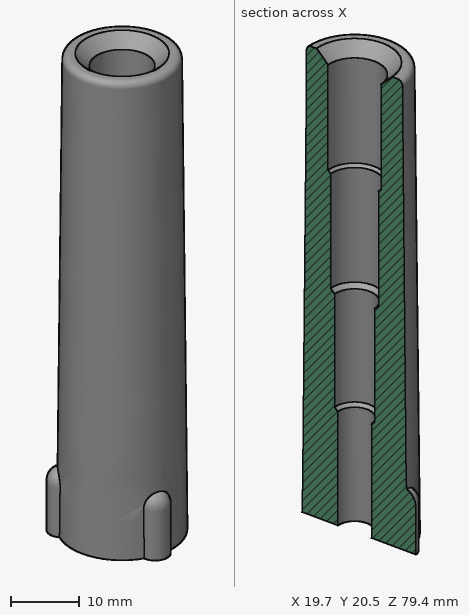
import cadquery as cq

LENGTH = 79.4
BASE_RADIUS = 9.5
TOP_RADIUS = 8.7
RIM_FILLET = 1.0

MOUTH_RADIUS = 6.8
BORE_RADII = [4.8, 4.3, 3.6, 3.0]
BORE_STEP_LENGTH = LENGTH / len(BORE_RADII)

RIB_COUNT = 3
RIB_RADIUS = 2.3
RIB_CENTER_DISTANCE = 8.7
RIB_STRAIGHT_HEIGHT = 8.3
FIRST_RIB_ANGLE = 90


def make_body():
    """Solid cone frustum with a rounded upper rim."""
    profile = [(0, 0), (BASE_RADIUS, 0), (TOP_RADIUS, LENGTH), (0, LENGTH)]
    cone = cq.Workplane("XZ").polyline(profile).close().revolve(360, (0, 0), (0, 1))
    return cone.faces(">Z").edges().fillet(RIM_FILLET)


def make_ribs():
    """Vertical posts with hemispherical tops, evenly spaced around the axis."""
    post = cq.Workplane("XY").circle(RIB_RADIUS).extrude(RIB_STRAIGHT_HEIGHT)
    dome = cq.Workplane("XY").sphere(RIB_RADIUS).translate((0, 0, RIB_STRAIGHT_HEIGHT))
    rib = post.union(dome).translate((RIB_CENTER_DISTANCE, 0, 0))
    ribs = cq.Workplane("XY")
    for index in range(RIB_COUNT):
        angle = FIRST_RIB_ANGLE + index * 360 / RIB_COUNT
        ribs = ribs.add(rib.rotate((0, 0, 0), (0, 0, 1), angle))
    return ribs.combine()


def make_bore():
    """Stepped through bore that narrows downward, each step entered by a 45 degree cone."""
    profile = [(0, LENGTH), (MOUTH_RADIUS, LENGTH)]
    radius_above = MOUTH_RADIUS
    for index, radius in enumerate(BORE_RADII):
        step_top = LENGTH - index * BORE_STEP_LENGTH
        cone_depth = radius_above - radius
        profile.append((radius, step_top - cone_depth))
        profile.append((radius, step_top - BORE_STEP_LENGTH))
        radius_above = radius
    profile.append((0, 0))
    return cq.Workplane("XZ").polyline(profile).close().revolve(360, (0, 0), (0, 1))


result = make_body().union(make_ribs()).cut(make_bore())